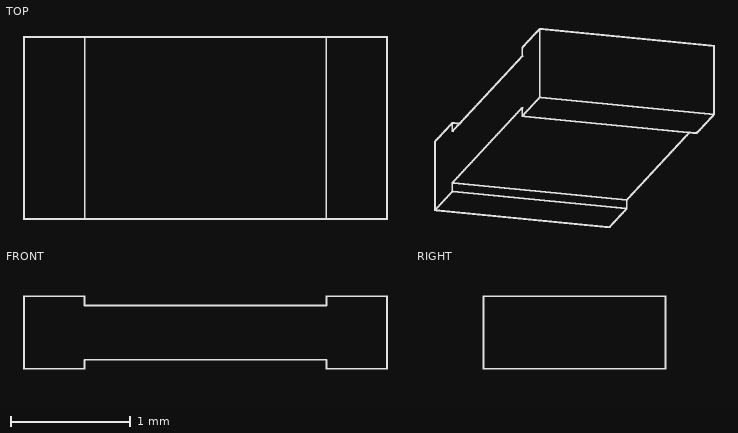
import cadquery as cq

length = 3.05
width = 1.53
height = 0.61

terminal_length = 0.51
terminal_thickness = 0.075

body_length = length - 2 * terminal_thickness
body_height = height - 2 * terminal_thickness


def make_body():
    return cq.Workplane("XY").box(body_length, width, body_height)


def make_terminal(side):
    """Cap at the -X end (side = -1) or the +X end (side = 1)."""
    center_x = side * (length - terminal_length) / 2
    block = cq.Workplane("XY").box(terminal_length, width, height).translate((center_x, 0, 0))
    return block.cut(make_body())


result = make_body()
for end_side in (-1, 1):
    result = result.union(make_terminal(end_side))